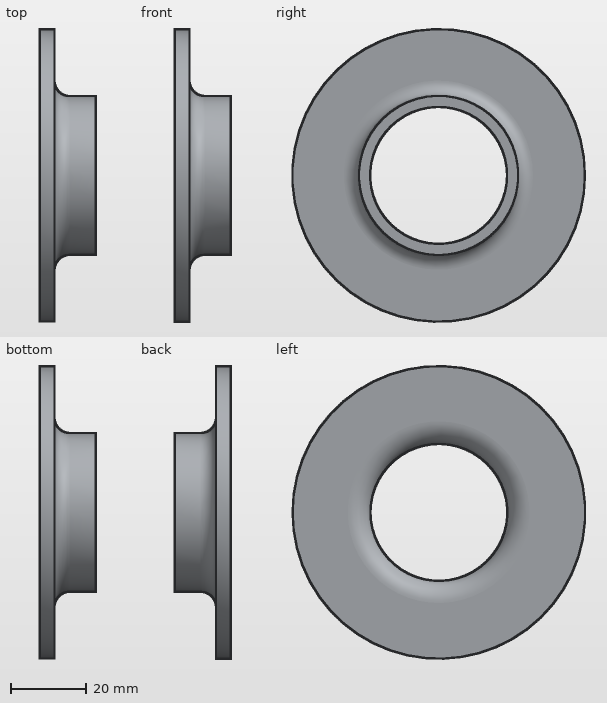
import cadquery as cq

flange_diameter = 78.0
flange_thickness = 4.0
collar_diameter = 42.4
wall_thickness = 3.0
total_length = 15.0
bore_flare_radius = 6.0
collar_fillet_radius = 4.0

flange_radius = flange_diameter / 2
collar_radius = collar_diameter / 2
bore_radius = collar_radius - wall_thickness
flare_mouth_radius = bore_radius + bore_flare_radius
fillet_end_x = flange_thickness + collar_fillet_radius
fillet_foot_radius = collar_radius + collar_fillet_radius


def half_section():
    """Half section in the XY plane: x runs along the axis, y is the radius."""
    return (
        cq.Workplane("XY")
        .moveTo(0, flare_mouth_radius)
        .lineTo(0, flange_radius)
        .lineTo(flange_thickness, flange_radius)
        .lineTo(flange_thickness, fillet_foot_radius)
        .radiusArc((fillet_end_x, collar_radius), -collar_fillet_radius)
        .lineTo(total_length, collar_radius)
        .lineTo(total_length, bore_radius)
        .lineTo(bore_flare_radius, bore_radius)
        .radiusArc((0, flare_mouth_radius), bore_flare_radius)
        .close()
    )


result = half_section().revolve(360, (0, 0, 0), (1, 0, 0))